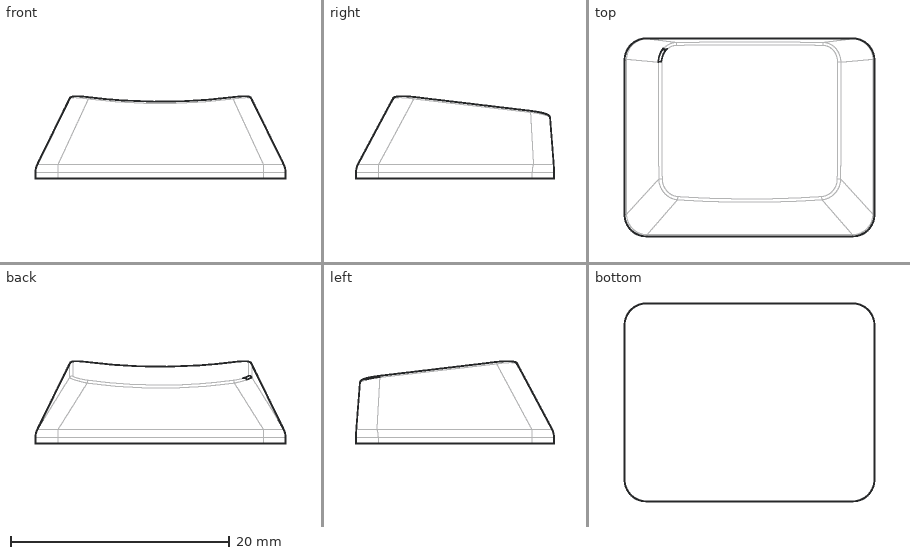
import cadquery as cq
import math

BASE_WIDTH = 22.92
BASE_DEPTH = 18.16
BASE_CORNER_RADIUS = 2.03

SKIRT_HEIGHT = 0.6
BAND_TOP_HEIGHT = 1.34

SIDE_BAND_INSET = 0.18
FRONT_BAND_INSET = 0.19
BACK_BAND_INSET = 0.03
BAND_TOP_CORNER_RADIUS = 1.88

TOP_TILT = math.radians(6.8)
TOP_CENTRE_HEIGHT = 7.12
TOP_WIDTH = 16.44
TOP_FRONT_Y = -5.46
TOP_BACK_Y = 8.68
TOP_CORNER_RADIUS = 1.8

DISH_RADIUS = 50.0
DISH_DEPTH = 0.72
DISH_LENGTH = 2 * BASE_DEPTH
RIM_FILLET = 0.3


def tilted_plane():
    """Plane of the top outline: local y runs down the slope towards +Y."""
    return cq.Plane(
        origin=(0, 0, TOP_CENTRE_HEIGHT),
        xDir=(1, 0, 0),
        normal=(0, math.sin(TOP_TILT), math.cos(TOP_TILT)),
    )


def rounded_outline(plane, width, front, back, radius):
    """Rectangle with rounded corners, from front to back along the plane's y axis."""
    side = width / 2
    arc_inset = radius * (1 - math.sqrt(0.5))
    return (
        cq.Workplane(plane)
        .moveTo(-side + radius, front)
        .lineTo(side - radius, front)
        .threePointArc((side - arc_inset, front + arc_inset), (side, front + radius))
        .lineTo(side, back - radius)
        .threePointArc((side - arc_inset, back - arc_inset), (side - radius, back))
        .lineTo(-side + radius, back)
        .threePointArc((-side + arc_inset, back - arc_inset), (-side, back - radius))
        .lineTo(-side, front + radius)
        .threePointArc((-side + arc_inset, front + arc_inset), (-side + radius, front))
        .close()
        .val()
    )


def level_outline(height, inset_share):
    """Level outline: share 0 is the base outline, share 1 the one at the top of the band."""
    radius_change = BAND_TOP_CORNER_RADIUS - BASE_CORNER_RADIUS
    return rounded_outline(
        cq.Plane.XY(origin=(0, 0, height)),
        BASE_WIDTH - 2 * inset_share * SIDE_BAND_INSET,
        -BASE_DEPTH / 2 + inset_share * FRONT_BAND_INSET,
        BASE_DEPTH / 2 - inset_share * BACK_BAND_INSET,
        BASE_CORNER_RADIUS + inset_share * radius_change,
    )


def top_outline():
    """Outline on the tilted plane, with its y positions stretched along the slope."""
    return rounded_outline(
        tilted_plane(),
        TOP_WIDTH,
        TOP_FRONT_Y / math.cos(TOP_TILT),
        TOP_BACK_Y / math.cos(TOP_TILT),
        TOP_CORNER_RADIUS,
    )


def loft(outlines, ruled):
    return cq.Workplane(cq.Solid.makeLoft(outlines, ruled))


def make_skirt():
    """Vertical band around the foot of the keycap."""
    return loft([level_outline(0, 0), level_outline(SKIRT_HEIGHT, 0)], ruled=True)


def make_rounded_band():
    """Parabolic band: vertical at the skirt, leaning inwards where it meets the walls."""
    mid_share = 0.5
    mid_height = SKIRT_HEIGHT + mid_share * (BAND_TOP_HEIGHT - SKIRT_HEIGHT)
    outlines = [
        level_outline(SKIRT_HEIGHT, 0),
        level_outline(mid_height, mid_share**2),
        level_outline(BAND_TOP_HEIGHT, 1),
    ]
    return loft(outlines, ruled=False)


def make_dish():
    """Cylinder whose lowest line runs along the middle of the tilted top."""
    return (
        cq.Workplane(tilted_plane())
        .transformed(rotate=(90, 0, 0))
        .center(0, DISH_RADIUS - DISH_DEPTH)
        .circle(DISH_RADIUS)
        .extrude(DISH_LENGTH / 2, both=True)
    )


def make_walls():
    """Sloping walls up to the tilted top, with the dish cut and its rim rounded."""
    walls = loft([level_outline(BAND_TOP_HEIGHT, 1), top_outline()], ruled=True)
    dished = walls.cut(make_dish())
    dish_bottom = (0, 0, TOP_CENTRE_HEIGHT - DISH_DEPTH)
    dish_face = dished.faces(cq.selectors.NearestToPointSelector(dish_bottom))
    return dish_face.edges().fillet(RIM_FILLET)


result = make_skirt().union(make_rounded_band()).union(make_walls())